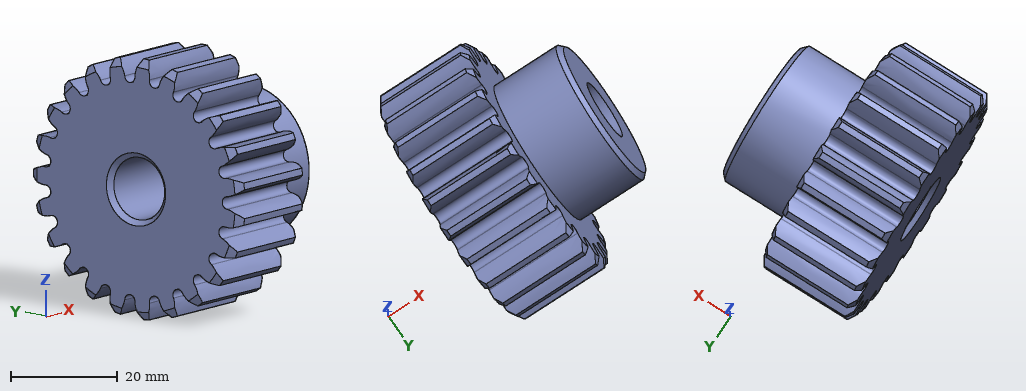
import cadquery as cq
import math

tooth_count = 23
tip_diameter = 50.0
pressure_angle = math.radians(20)
dedendum = 2.65
backlash = 0.1
face_width = 20.0
tip_chamfer_width = 1.0
tip_chamfer_depth = 1.6

hub_diameter = 30.0
overall_length = 35.0
hub_chamfer = 1.0

bore_diameter = 12.0
bore_chamfer = 1.0

flank_points = 7

module = tip_diameter / (tooth_count + 2)
tip_radius = tip_diameter / 2
pitch_radius = module * tooth_count / 2
base_radius = pitch_radius * math.cos(pressure_angle)
root_radius = pitch_radius - dedendum
tooth_pitch = 2 * math.pi / tooth_count
pitch_half_angle = tooth_pitch / 4 - backlash / 2 / pitch_radius


def involute(angle):
    return math.tan(angle) - angle


def polar(radius, angle):
    return (radius * math.cos(angle), radius * math.sin(angle))


def half_tooth_angle(radius):
    """Half of the angle that a tooth spans at the given radius."""
    local_pressure_angle = math.acos(min(1.0, base_radius / radius))
    return pitch_half_angle + involute(pressure_angle) - involute(local_pressure_angle)


def tooth_profile():
    """Closed outline: involute flanks, arc tips and round tooth gaps. One tooth is centred on +Y."""
    radius_step = (tip_radius - base_radius) / (flank_points - 1)
    radii = [base_radius + i * radius_step for i in range(flank_points)]
    tip_half_angle = half_tooth_angle(tip_radius)
    base_half_angle = half_tooth_angle(base_radius)

    profile = cq.Workplane("YZ").moveTo(*polar(base_radius, -base_half_angle))
    for tooth in range(tooth_count):
        center = tooth * tooth_pitch
        rising = [polar(r, center - half_tooth_angle(r)) for r in radii]
        falling = [polar(r, center + half_tooth_angle(r)) for r in reversed(radii)]
        gap_bottom = polar(root_radius, center + tooth_pitch / 2)
        next_tooth = polar(base_radius, center + tooth_pitch - base_half_angle)
        profile = (
            profile.spline(rising[1:], includeCurrent=True)
            .threePointArc(polar(tip_radius, center), polar(tip_radius, center + tip_half_angle))
            .spline(falling[1:], includeCurrent=True)
            .threePointArc(gap_bottom, next_tooth)
        )
    return profile.close()


def toothed_rim():
    """Extruded teeth, trimmed by a blank whose conical ends bevel the tooth tips."""
    blank = (
        cq.Workplane("XY")
        .moveTo(0, 0)
        .lineTo(0, tip_radius - tip_chamfer_depth)
        .lineTo(tip_chamfer_width, tip_radius)
        .lineTo(face_width - tip_chamfer_width, tip_radius)
        .lineTo(face_width, tip_radius - tip_chamfer_depth)
        .lineTo(face_width, 0)
        .close()
        .revolve(360, (0, 0, 0), (1, 0, 0))
    )
    return tooth_profile().extrude(face_width).intersect(blank)


def hub():
    return (
        cq.Workplane("YZ", origin=(face_width, 0, 0))
        .circle(hub_diameter / 2)
        .extrude(overall_length - face_width)
        .faces(">X")
        .chamfer(hub_chamfer)
    )


def bore():
    """Through bore, with a conical lead-in at the toothed face."""
    bore_radius = bore_diameter / 2
    return (
        cq.Workplane("XY")
        .moveTo(0, 0)
        .lineTo(0, bore_radius + bore_chamfer)
        .lineTo(bore_chamfer, bore_radius)
        .lineTo(overall_length, bore_radius)
        .lineTo(overall_length, 0)
        .close()
        .revolve(360, (0, 0, 0), (1, 0, 0))
    )


result = toothed_rim().union(hub()).cut(bore())